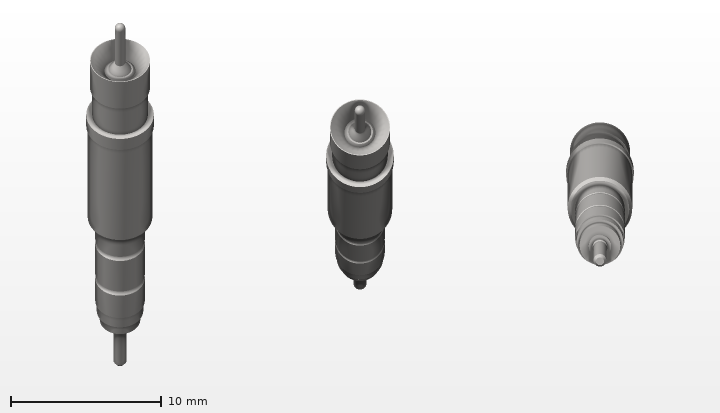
import cadquery as cq


total_length = 32.5
lower_pin_chamfer = 0.25
lower_pin_top = 3.6
collar_chamfer = 0.1
seal_disc_bottom = 4.0
nose_bottom = 4.2
step_bottom = 5.05
barrel_bottom = 6.05
lower_groove_z = 8.4
upper_groove_z = 11.72
body_bottom = 13.8
body_chamfer = 0.25
flange_bottom = 22.8
flange_top = 23.85
cup_bottom = 26.5
cup_top = 29.05

upper_pin_radius = 0.35
lower_pin_radius = 0.43
lower_tip_radius = 0.27
collar_radius = 0.5
seal_disc_radius = 0.75
nose_radius = 1.35
step_radius = 1.55
barrel_radius = 1.65
body_radius = 2.15
body_end_radius = 1.95
flange_radius = 2.25
neck_radius = 1.85
cup_radius = 2.0

groove_depth = 0.2
groove_half_width = 0.2

funnel_mouth_radius = 1.95
funnel_depth = 1.0
funnel_floor_radius = 1.03
funnel_floor_z = cup_top - funnel_depth

insulator_top_depth = 0.2
shoulder_depth = 0.82
insulator_top_z = cup_top - insulator_top_depth
shoulder_z = cup_top - shoulder_depth
shoulder_inner_radius = 0.75
shoulder_outer_radius = 0.86


def turned(profile):
    """Revolve a closed half-section, drawn as (radius, height), about the Z axis."""
    return profile.close().revolve(360, (0, 0, 0), (0, 1, 0))


def stepped_body():
    """Solid of all outer shoulders from the lower tip to the cup rim."""
    profile = cq.Workplane("XZ").polyline([
        (0, 0),
        (lower_tip_radius, 0),
        (lower_pin_radius, lower_pin_chamfer),
        (lower_pin_radius, lower_pin_top),
        (collar_radius, lower_pin_top + collar_chamfer),
        (collar_radius, seal_disc_bottom),
        (seal_disc_radius, seal_disc_bottom),
        (seal_disc_radius, nose_bottom),
        (nose_radius, nose_bottom),
        (nose_radius, step_bottom),
        (step_radius, step_bottom),
        (step_radius, barrel_bottom),
        (barrel_radius, barrel_bottom),
        (barrel_radius, body_bottom),
        (body_end_radius, body_bottom),
        (body_radius, body_bottom + body_chamfer),
        (body_radius, flange_bottom),
        (flange_radius, flange_bottom),
        (flange_radius, flange_top),
        (neck_radius, flange_top),
        (neck_radius, cup_bottom),
        (cup_radius, cup_bottom),
        (cup_radius, cup_top),
        (0, cup_top),
    ])
    return turned(profile)


def barrel_groove(center_z):
    """Ring cutter for one V groove in the barrel."""
    profile = cq.Workplane("XZ").polyline([
        (barrel_radius, center_z - groove_half_width),
        (barrel_radius - groove_depth, center_z),
        (barrel_radius, center_z + groove_half_width),
    ])
    return turned(profile)


def cup_funnel():
    """Conical cavity that opens to a thin rim at the top of the cup."""
    profile = cq.Workplane("XZ").polyline([
        (0, funnel_floor_z),
        (funnel_floor_radius, funnel_floor_z),
        (funnel_mouth_radius, cup_top),
        (0, cup_top),
    ])
    return turned(profile)


def upper_pin():
    """Insulator on the funnel floor and the hemispherical-ended pin rising from it."""
    tip_center_z = total_length - upper_pin_radius
    profile = (
        cq.Workplane("XZ")
        .moveTo(0, funnel_floor_z)
        .lineTo(funnel_floor_radius, funnel_floor_z)
        .lineTo(shoulder_outer_radius, shoulder_z)
        .lineTo(shoulder_inner_radius, shoulder_z)
        .lineTo(upper_pin_radius, insulator_top_z)
        .lineTo(upper_pin_radius, tip_center_z)
        .radiusArc((0, total_length), -upper_pin_radius)
    )
    return turned(profile)


result = stepped_body()
for groove_z in (lower_groove_z, upper_groove_z):
    result = result.cut(barrel_groove(groove_z))
result = result.cut(cup_funnel()).union(upper_pin())